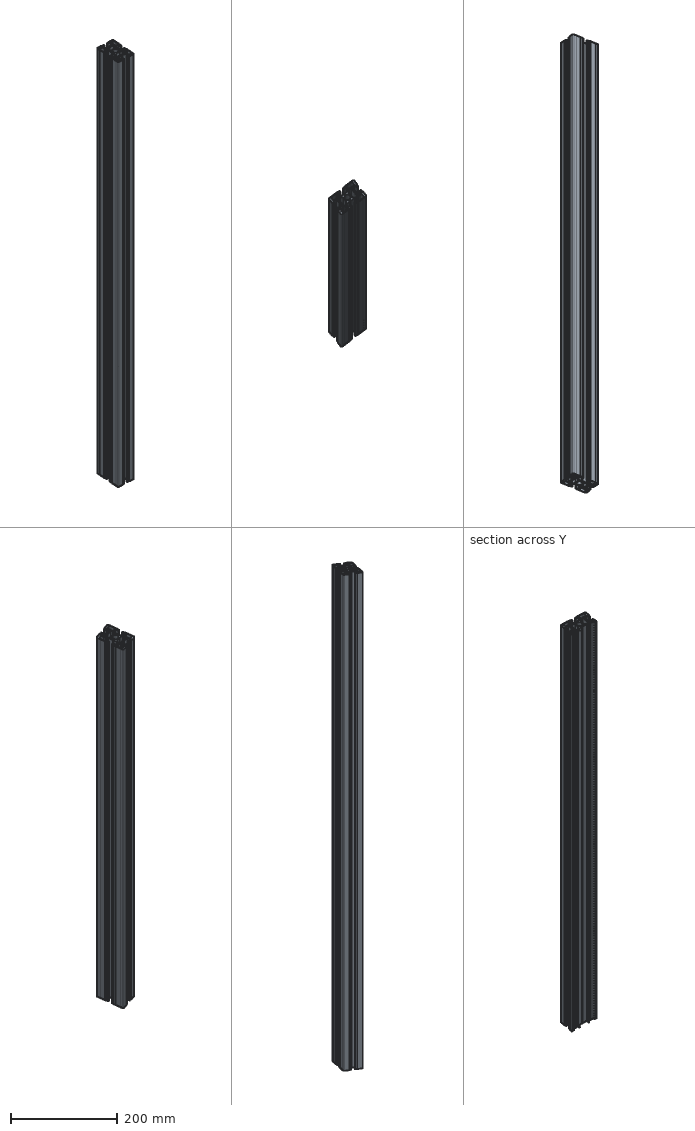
import cadquery as cq

width = 60.0
depth = 40.0
length = 1000.0
corner_radius = 2.0

slot_opening = 8.0
slot_inner_width = 21.0
lip_thickness = 4.0
slot_depth = 11.0
mouth_width = 16.0
mouth_depth = 1.0
groove_width = 2.0
groove_depth = 1.0

front_wall = 1.0
end_wall = 5.0
chamber_x_inner = 12.0
chamber_y_inner = 11.0
chamber_fillet = 3.0
chamber_x_outer = width / 2 - end_wall
chamber_y_outer = depth / 2 - front_wall

bore_diameter = 11.0
core_width = 14.0
core_flare = 5.0
slot_floor_wall = 3.0
side_chamber_height = 19.0
side_x_inner = core_width / 2
side_x_outer = width / 2 - slot_depth - slot_floor_wall


def slot_layer(layer_width, start, end):
    """Bar lying between two depths below a face at Y = 0."""
    bar = cq.Workplane("XY").box(layer_width, end - start, length, centered=(True, False, False))
    return bar.translate((0, -end, 0))


def t_slot():
    """T-slot cutter that opens at Y = 0 and reaches towards -Y."""
    neck = slot_layer(slot_opening, 0, slot_depth)
    head = slot_layer(slot_inner_width, lip_thickness, slot_depth)
    mouth = slot_layer(mouth_width, 0, mouth_depth)
    groove = slot_layer(groove_width, lip_thickness, slot_depth + groove_depth)
    return neck.union(head).union(mouth).union(groove)


def corner_chamber():
    """Chamber in the (+X, +Y) corner."""
    size_x = chamber_x_outer - chamber_x_inner
    size_y = chamber_y_outer - chamber_y_inner
    chamber = cq.Workplane("XY").box(size_x, size_y, length, centered=False)
    chamber = chamber.edges("|Z and >X").fillet(chamber_fillet)
    return chamber.translate((chamber_x_inner, chamber_y_inner, 0))


def side_chamber():
    """Chamber on the +X side of the core, bevelled where the core flares out."""
    half_height = side_chamber_height / 2
    flare_x = side_x_inner + core_flare
    flare_y = half_height - core_flare
    outline = [
        (side_x_outer, -half_height),
        (side_x_outer, half_height),
        (flare_x, half_height),
        (side_x_inner, flare_y),
        (side_x_inner, -flare_y),
        (flare_x, -half_height),
    ]
    return cq.Workplane("XY").polyline(outline).close().extrude(length)


body = cq.Workplane("XY").box(width, depth, length, centered=(True, True, False))
body = body.edges("|Z").fillet(corner_radius)

for turn, face_distance in enumerate((depth / 2, width / 2, depth / 2, width / 2)):
    slot = t_slot().translate((0, face_distance, 0))
    body = body.cut(slot.rotate((0, 0, 0), (0, 0, 1), 90 * turn))

right_chambers = [side_chamber(), corner_chamber(), corner_chamber().mirror("XZ")]
for chamber in right_chambers:
    body = body.cut(chamber).cut(chamber.mirror("YZ"))

bore = cq.Workplane("XY").circle(bore_diameter / 2).extrude(length)
result = body.cut(bore)